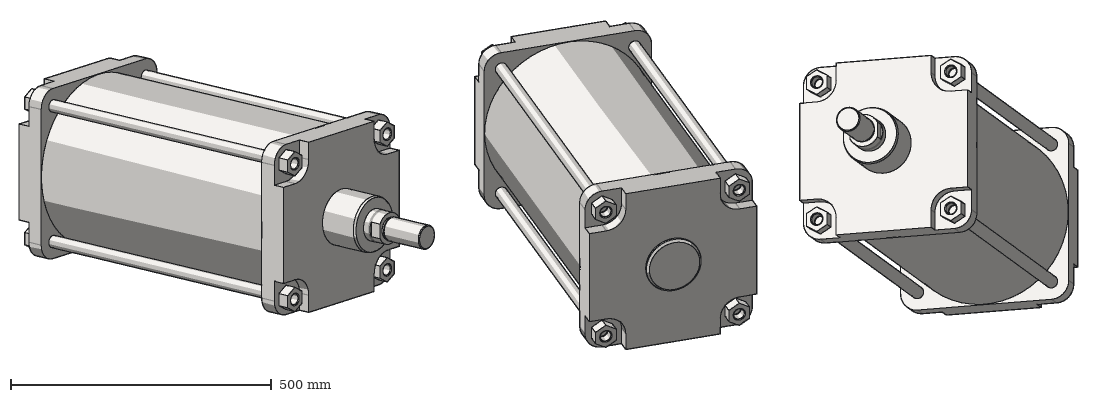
import cadquery as cq
import math

TOTAL_LENGTH = 896.0
REAR_FACE = 9.0
REAR_SEAT = 34.0
REAR_INNER = 65.0
FRONT_INNER = 624.0
FRONT_SEAT = 656.0
FRONT_FACE = 679.0
FRONT_BOSS_END = 762.5
FLATS_START = 779.0
FLATS_END = 801.0
THREAD_START = 806.0

COVER_SIDE = 340.0
BARREL_DIAMETER = 338.0
BOSS_DIAMETER = 111.0
REAR_BOSS_CHAMFER = 4.5
FRONT_BOSS_TAPER_LENGTH = 5.0
FRONT_BOSS_TAPER_DEPTH = 2.0
TIE_ROD_OFFSET = 135.0
CORNER_RADIUS = COVER_SIDE / 2 - TIE_ROD_OFFSET
RECESS_RADIUS = 39.0

TIE_ROD_DIAMETER = 24.0
NUT_ACROSS_FLATS = 42.0
NUT_HEIGHT = 22.0
NUT_BORE_DIAMETER = 21.5
NUT_BORE_CHAMFER = 2.0

SHANK_DIAMETER = 64.0
SHANK_TAPER_LENGTH = 3.0
WRENCH_DIAMETER = 63.0
WRENCH_ACROSS_FLATS = 56.0
UNDERCUT_DIAMETER = 44.0
THREAD_DIAMETER = 47.5
THREAD_CHAMFER = 2.0


def cylinder(start, end, diameter):
    """Cylinder on the X axis between two X positions."""
    return cq.Workplane("YZ", origin=(start, 0, 0)).circle(diameter / 2).extrude(end - start)


def cone(start, end, start_diameter, end_diameter):
    """Truncated cone on the X axis, each diameter given at its X position."""
    axis = cq.Vector(1, 0, 0)
    solid = cq.Solid.makeCone(start_diameter / 2, end_diameter / 2, end - start, cq.Vector(start, 0, 0), axis)
    return cq.Workplane(solid)


def tie_rod_centers():
    return [(y, z) for y in (-TIE_ROD_OFFSET, TIE_ROD_OFFSET) for z in (-TIE_ROD_OFFSET, TIE_ROD_OFFSET)]


def corner_recess(y, z, start, end):
    """Pocket that opens a cover corner around one tie rod, rounded toward the cover's middle."""
    reach = CORNER_RADIUS + RECESS_RADIUS
    middle = (COVER_SIDE - reach) / 2
    return (
        cq.Workplane("YZ", origin=(start, math.copysign(middle, y), math.copysign(middle, z)))
        .rect(reach, reach)
        .extrude(end - start)
        .edges("|X")
        .edges(cq.selectors.NearestToPointSelector(((start + end) / 2, 0, 0)))
        .fillet(RECESS_RADIUS)
    )


def cover(start, end, recess_start, recess_end, boss):
    """Square end cover with rounded corners, a round boss, nut recesses and tie rod holes."""
    body = (
        cq.Workplane("YZ", origin=(start, 0, 0))
        .rect(COVER_SIDE, COVER_SIDE)
        .extrude(end - start)
        .edges("|X")
        .fillet(CORNER_RADIUS)
        .union(boss)
    )
    for y, z in tie_rod_centers():
        body = body.cut(corner_recess(y, z, recess_start, recess_end))
        body = body.cut(cylinder(start, end, TIE_ROD_DIAMETER).translate((0, y, z)))
    return body


def rear_cover():
    boss = cylinder(0, REAR_FACE, BOSS_DIAMETER).faces("<X").chamfer(REAR_BOSS_CHAMFER)
    return cover(REAR_FACE, REAR_INNER, REAR_FACE, REAR_SEAT, boss)


def front_cover():
    taper_start = FRONT_BOSS_END - FRONT_BOSS_TAPER_LENGTH
    tip_diameter = BOSS_DIAMETER - 2 * FRONT_BOSS_TAPER_DEPTH
    boss = cylinder(FRONT_FACE, taper_start, BOSS_DIAMETER).union(
        cone(taper_start, FRONT_BOSS_END, BOSS_DIAMETER, tip_diameter)
    )
    return cover(FRONT_INNER, FRONT_FACE, FRONT_SEAT, FRONT_FACE, boss)


def barrel():
    return cylinder(REAR_INNER, FRONT_INNER, BARREL_DIAMETER)


def nut(start):
    """Solid hexagon on the X axis with two corners pointing along Z."""
    across_corners = NUT_ACROSS_FLATS / math.cos(math.pi / 6)
    hexagon = cq.Workplane("YZ", origin=(start, 0, 0)).polygon(6, across_corners).extrude(NUT_HEIGHT)
    return hexagon.rotate((0, 0, 0), (1, 0, 0), 90)


def tie_rod(y, z):
    """Rod through both covers with a nut on each end, the nut bores open outward."""
    rear_end = REAR_SEAT - NUT_HEIGHT
    front_end = FRONT_SEAT + NUT_HEIGHT
    bore_mouth = NUT_BORE_DIAMETER + 2 * NUT_BORE_CHAMFER
    body = (
        cylinder(REAR_SEAT, FRONT_SEAT, TIE_ROD_DIAMETER)
        .union(nut(rear_end))
        .union(nut(FRONT_SEAT))
        .cut(cylinder(rear_end, REAR_SEAT, NUT_BORE_DIAMETER))
        .cut(cylinder(FRONT_SEAT, front_end, NUT_BORE_DIAMETER))
        .cut(cone(rear_end, rear_end + NUT_BORE_CHAMFER, bore_mouth, NUT_BORE_DIAMETER))
        .cut(cone(front_end - NUT_BORE_CHAMFER, front_end, NUT_BORE_DIAMETER, bore_mouth))
    )
    return body.translate((0, y, z))


def piston_rod():
    """Exposed rod end: round shank, wrench flats, thread undercut and chamfered thread."""
    taper_start = FLATS_START - SHANK_TAPER_LENGTH
    shank = cylinder(FRONT_BOSS_END, taper_start, SHANK_DIAMETER)
    taper = cone(taper_start, FLATS_START, SHANK_DIAMETER, WRENCH_DIAMETER)
    flats = (
        cq.Workplane("YZ", origin=(FLATS_START, 0, 0))
        .rect(WRENCH_ACROSS_FLATS, WRENCH_DIAMETER)
        .extrude(FLATS_END - FLATS_START)
    )
    wrench_section = cylinder(FLATS_START, FLATS_END, WRENCH_DIAMETER).intersect(flats)
    undercut = cylinder(FLATS_END, THREAD_START, UNDERCUT_DIAMETER)
    thread = cylinder(THREAD_START, TOTAL_LENGTH, THREAD_DIAMETER).faces(">X").chamfer(THREAD_CHAMFER)
    return shank.union(taper).union(wrench_section).union(undercut).union(thread)


tie_rods = [tie_rod(y, z) for y, z in tie_rod_centers()]

result = cq.Compound.makeCompound(
    [
        rear_cover().val(),
        front_cover().val(),
        barrel().val(),
        piston_rod().val(),
        *[rod.val() for rod in tie_rods],
    ]
)